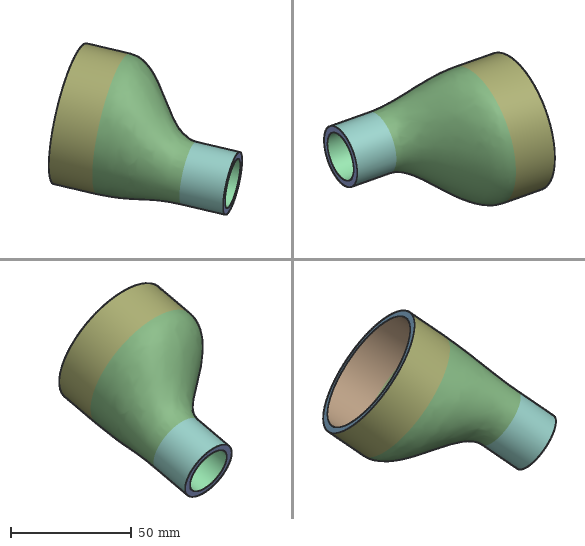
import cadquery as cq

total_length = 76.0
end_length = 19.0
large_diameter = 60.3
small_diameter = 26.9
wall = 2.9
section_count = 13
handle_fraction = 0.38

large_radius = large_diameter / 2
small_radius = small_diameter / 2
taper_length = total_length - 2 * end_length
eccentricity = large_radius - small_radius


def bezier(t, start_handle, end_handle):
    """Cubic Bezier coordinate running from 0 to 1, with its two inner control values."""
    return 3 * start_handle * t * (1 - t) ** 2 + 3 * end_handle * t**2 * (1 - t) + t**3


def pipe_end(start_x, center_y, radius):
    """Solid straight cylinder running along +X."""
    plane = cq.Plane(origin=(start_x, center_y, 0), xDir=(0, 1, 0), normal=(1, 0, 0))
    return cq.Workplane(plane).circle(radius).extrude(end_length)


def tapered_body(inset):
    """Solid S-shaped taper whose circles shrink while keeping the -Y wall line straight."""
    sections = []
    for index in range(section_count):
        t = index / (section_count - 1)
        section_x = end_length + taper_length * bezier(t, handle_fraction, 1 - handle_fraction)
        shift = eccentricity * bezier(t, 0, 1)
        center = cq.Vector(section_x, -shift, 0)
        radius = large_radius - shift - inset
        sections.append(cq.Wire.makeCircle(radius, center, cq.Vector(1, 0, 0)))
    return cq.Workplane(cq.Solid.makeLoft(sections))


def reducer_solid(inset):
    """Complete solid reducer, with its surface moved inward by the inset."""
    large_end = pipe_end(0, 0, large_radius - inset)
    small_end = pipe_end(total_length - end_length, -eccentricity, small_radius - inset)
    return large_end.union(tapered_body(inset)).union(small_end)


result = reducer_solid(0).cut(reducer_solid(wall))